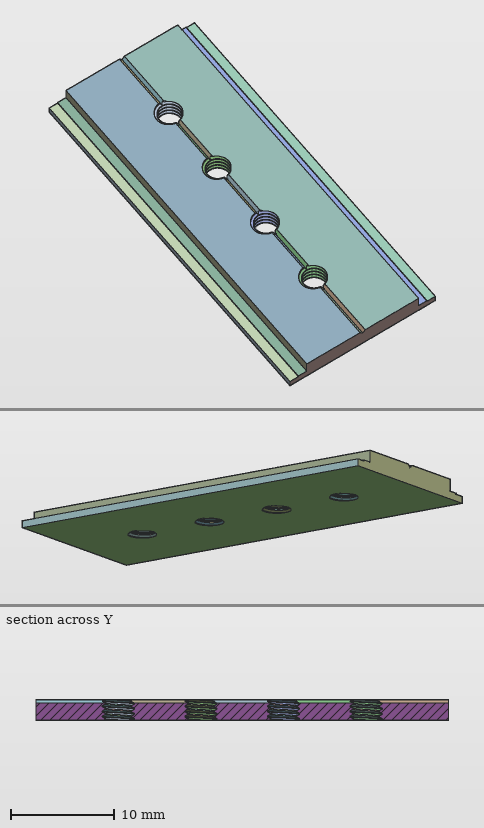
import cadquery as cq
import math

length = 40.0
height = 2.0
base_width = 17.35
step_run = 1.0
lower_ledge_height = 0.7
upper_ledge_height = 0.8

groove_depth = 0.3
groove_angle = 90.0

hole_count = 4
hole_pitch = 8.0
minor_diameter = 2.53
major_diameter = 3.09
thread_pitch = 0.5
thread_angle = 60.0
root_flat = thread_pitch / 8
top_groove_direction = -90.0
bore_overlap = 0.05


def stepped_plate():
    """Bar with two low ledges along each long side."""
    half_base = base_width / 2
    half_middle = half_base - step_run
    half_top = half_middle - step_run
    half_outline = [
        (half_base, 0),
        (half_base, lower_ledge_height),
        (half_middle, lower_ledge_height),
        (half_middle, upper_ledge_height),
        (half_top, upper_ledge_height),
        (half_top, height),
    ]
    mirrored_outline = [(-y, z) for y, z in reversed(half_outline)]
    return (
        cq.Workplane("YZ")
        .polyline(half_outline + mirrored_outline)
        .close()
        .extrude(length / 2, both=True)
    )


def centre_groove():
    """Triangular prism that cuts the V groove."""
    half_width = groove_depth * math.tan(math.radians(groove_angle / 2))
    return (
        cq.Workplane("YZ")
        .polyline([(-half_width, height), (half_width, height), (0, height - groove_depth)])
        .close()
        .extrude(length / 2, both=True)
    )


def thread_cutter():
    """Helical ridge, centred on the Z axis, that cuts the thread groove through the full height."""
    minor_radius = minor_diameter / 2
    major_radius = major_diameter / 2
    inner_radius = minor_radius - bore_overlap
    cutter_depth = major_radius - inner_radius
    half_root = root_flat / 2
    half_inner = half_root + cutter_depth * math.tan(math.radians(thread_angle / 2))

    turns = math.ceil(height / thread_pitch) + 2
    helix_height = turns * thread_pitch
    helix = cq.Wire.makeHelix(thread_pitch, helix_height, minor_radius)
    ridge = (
        cq.Workplane("XZ")
        .polyline([
            (inner_radius, -half_inner),
            (major_radius, -half_root),
            (major_radius, half_root),
            (inner_radius, half_inner),
        ])
        .close()
        .sweep(cq.Workplane(helix), isFrenet=True)
    )
    return (
        ridge.rotate((0, 0, 0), (0, 0, 1), top_groove_direction)
        .translate((0, 0, height + thread_pitch - helix_height))
    )


def bore_cutter():
    """Cylinder of the thread's minor diameter through the full height."""
    return cq.Workplane("XY").circle(minor_diameter / 2).extrude(height)


result = stepped_plate().cut(centre_groove())
bore = bore_cutter()
thread = thread_cutter()
for index in range(hole_count):
    hole_x = (index - (hole_count - 1) / 2) * hole_pitch
    result = result.cut(thread.translate((hole_x, 0, 0)))
    result = result.cut(bore.translate((hole_x, 0, 0)))